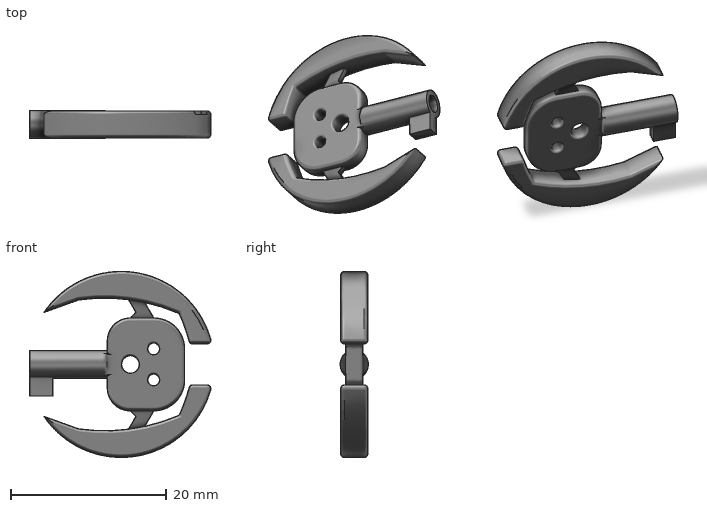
import cadquery as cq
import math

plate_left = -3.0
plate_right = 7.0
plate_half_height = 6.0
plate_thickness = 2.25
plate_left_radius = 3.0
plate_right_radius = 4.0
edge_radius = 0.5

large_hole_diameter = 2.25
small_hole_diameter = 1.5
small_hole_x = 3.0
small_hole_z = 2.0
hole_edge_radius = 0.25

shaft_left = -13.0
shaft_diameter = 3.65
bore_diameter = 2.3
shaft_end_radius = 0.5
bore_depth = 9.0
root_width = 2.6
foot_radius = 0.15
bit_length = 3.0
bit_bottom = -4.1
bit_width = 1.65

bow_thickness = 3.5
bow_center_x = -1.19
bow_radius = 12.0
bow_end_z = 2.64
bow_corner_radius = 0.5
bow_tip_z = 6.7
bow_inner_center_x = -3.3
bow_inner_radius = 24.0
bow_inner_top_z = 8.54
bow_shoulder_x = -6.7
bow_corner_x = 6.28
bow_hook_mid = (7.06, 4.6)
bow_hook_end_x = 7.65

spoke_thickness = 0.8
spoke_right_x = 3.0
spoke_notch = 0.7
spoke_slope = math.radians(60)
spoke_top_z = 9.0


def slab(outline, thickness):
    """Extrude an outline drawn in X and Z to both sides of the Y = 0 plane."""
    return outline.extrude(thickness / 2, both=True)


def make_plate():
    """Flat body with rounded corners, and rounded edges around both faces."""
    width = plate_right - plate_left
    plate = cq.Workplane("XY").box(width, plate_thickness, 2 * plate_half_height)
    plate = plate.translate(((plate_left + plate_right) / 2, 0, 0))
    plate = plate.edges("|Y and <X").fillet(plate_left_radius)
    plate = plate.edges("|Y and >X").fillet(plate_right_radius)
    return plate.faces("<Y or >Y").edges().fillet(edge_radius)


def cut_hole(body, x, z, diameter):
    """Cut a hole along Y whose two rims are rounded."""
    radius = diameter / 2
    half = plate_thickness / 2
    mouth = radius + hole_edge_radius
    inner = half - hole_edge_radius
    blend = hole_edge_radius * (1 - math.cos(math.radians(45)))
    profile = (
        cq.Workplane("XY")
        .moveTo(0, -half)
        .lineTo(mouth, -half)
        .threePointArc((radius + blend, -half + blend), (radius, -inner))
        .lineTo(radius, inner)
        .threePointArc((radius + blend, half - blend), (mouth, half))
        .lineTo(0, half)
        .close()
    )
    cutter = profile.revolve(360, (0, 0, 0), (0, 1, 0)).translate((x, 0, z))
    return body.cut(cutter)


def rod(left, right, radius):
    """Cylinder on the X axis between two X positions."""
    return cq.Workplane("YZ", origin=(left, 0, 0)).circle(radius).extrude(right - left)


def make_shaft():
    """Shaft whose end is rounded only where it stands out from the plate faces."""
    shaft = rod(shaft_left, plate_left, shaft_diameter / 2)
    root_radius = math.hypot(root_width / 2, plate_thickness / 2)
    root = rod(plate_left, plate_left + edge_radius, root_radius)
    between_faces = cq.Workplane("XY").box(-2 * shaft_left, plate_thickness, shaft_diameter)
    core = shaft.union(root).intersect(between_faces)
    shaft = shaft.faces(">X").edges().fillet(shaft_end_radius).union(core)
    foot = cq.selectors.BoxSelector(
        (plate_left - foot_radius, -plate_thickness, -foot_radius),
        (plate_left + foot_radius, plate_thickness, foot_radius),
    )
    return shaft.edges("|Z").edges(foot).fillet(foot_radius)


def make_bit():
    """Rectangular key bit hanging from the free end of the shaft."""
    bit = cq.Workplane("XY").box(bit_length, bit_width, -bit_bottom, centered=(False, True, False))
    return bit.translate((shaft_left, 0, bit_bottom))


def cut_bore(body):
    """Bore the shaft from its free end, stopping short of the plate."""
    return body.cut(rod(shaft_left, shaft_left + bore_depth, bore_diameter / 2))


def bow_outer_x(z, side):
    """X of the outer arc at height z, on the left (-1) or right (+1) side."""
    return bow_center_x + side * math.sqrt(bow_radius**2 - z**2)


def bow_inner_z(x):
    """Height of the long inner arc at x."""
    drop = bow_inner_radius - math.sqrt(bow_inner_radius**2 - (x - bow_inner_center_x) ** 2)
    return bow_inner_top_z - drop


def make_bow_blank():
    """Bow with all edges rounded, its left part still squared off beyond the pointed tip."""
    shoulder_z = bow_inner_z(bow_shoulder_x)
    tip_x = bow_outer_x(bow_tip_z, -1)
    tip_slope = (shoulder_z - bow_tip_z) / (bow_shoulder_x - tip_x)
    blank_left = tip_x - bow_thickness
    mid_z = bow_radius * math.sin(math.radians(45))
    outline = (
        cq.Workplane("XZ")
        .moveTo(blank_left, bow_radius)
        .lineTo(bow_center_x, bow_radius)
        .threePointArc((bow_outer_x(mid_z, 1), mid_z), (bow_outer_x(bow_end_z, 1), bow_end_z))
        .lineTo(bow_hook_end_x, bow_end_z)
        .threePointArc(bow_hook_mid, (bow_corner_x, bow_inner_z(bow_corner_x)))
        .threePointArc((bow_inner_center_x, bow_inner_top_z), (bow_shoulder_x, shoulder_z))
        .lineTo(blank_left, shoulder_z + tip_slope * (blank_left - bow_shoulder_x))
        .close()
    )
    blank = slab(outline, bow_thickness)
    lower_corners = cq.selectors.BoxSelector(
        (bow_shoulder_x - edge_radius, -bow_thickness, 0),
        (bow_center_x + bow_radius, bow_thickness, bow_inner_top_z),
    )
    blank = blank.edges("|Y").edges(lower_corners).fillet(bow_corner_radius)
    return blank.faces("<Y or >Y").edges().fillet(edge_radius)


def make_bow():
    """Trim the left part of the blank with a round-edged disc, which leaves the pointed tip."""
    disc = slab(cq.Workplane("XZ", origin=(bow_center_x, 0, 0)).circle(bow_radius), bow_thickness)
    disc = disc.edges().fillet(edge_radius)
    right_side = cq.Workplane("XY").box(
        2 * bow_radius, 2 * bow_thickness, 4 * bow_radius, centered=(False, True, True)
    )
    envelope = disc.union(right_side.translate((bow_center_x, 0, 0)))
    return make_bow_blank().intersect(envelope)


def make_spoke():
    """Thin slanted web, notched beside the plate and sunk into the plate and the upper bow."""
    lean = 1 / math.tan(spoke_slope)
    base = plate_half_height
    root_z = base - edge_radius
    notch_z = base + spoke_notch
    points = [
        (0, root_z),
        (0, base),
        (spoke_notch, notch_z),
        (spoke_notch - lean * (spoke_top_z - notch_z), spoke_top_z),
        (spoke_right_x - lean * (spoke_top_z - base), spoke_top_z),
        (spoke_right_x, base),
        (spoke_right_x, root_z),
    ]
    outline = cq.Workplane("XZ").polyline(points).close()
    return slab(outline, spoke_thickness)


upper_half = make_bow().union(make_spoke())
lower_half = upper_half.mirror("XY")
result = make_plate().union(make_shaft()).union(make_bit()).union(upper_half).union(lower_half)
result = cut_hole(result, 0, 0, large_hole_diameter)
for side in (-1, 1):
    result = cut_hole(result, small_hole_x, side * small_hole_z, small_hole_diameter)
result = cut_bore(result)